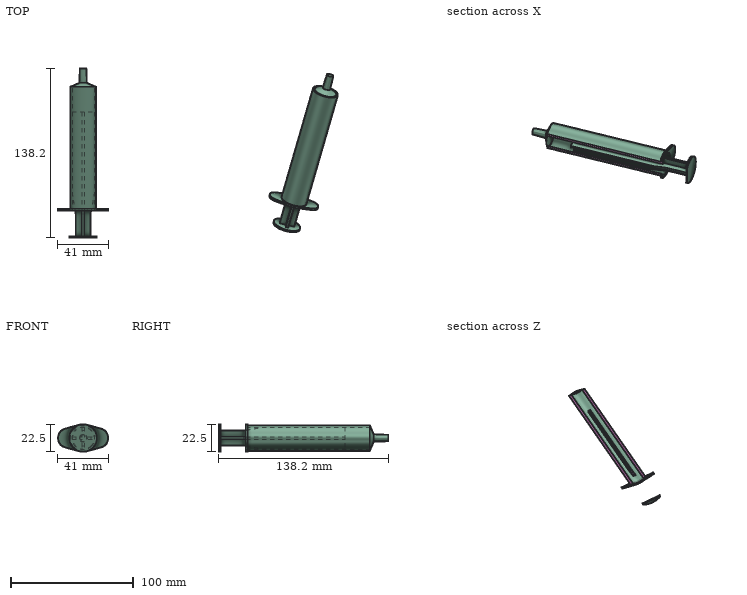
import cadquery as cq
import math


barrel_diameter = 21.2
bore_diameter = 18.0
mouth_diameter = 18.4
mouth_depth = 1.5
barrel_end = 101.3
shoulder_length = 3.2
nozzle_base_diameter = 6.4
nozzle_tip_diameter = 5.5
nozzle_length = 11.9

flange_width = 41.05
flange_height = 22.47
flange_bow_radius = 13.5
flange_ear_radius = 8.0
flange_thickness = 1.7

thumb_disk_diameter = 22.47
thumb_disk_thickness = 1.35
stem_exposed_length = 20.5
stem_diameter = 12.4
rib_thickness = 2.1
flare_start = -2.1
flare_end = 14.0

nozzle_start = barrel_end + shoulder_length
nozzle_end = nozzle_start + nozzle_length
stem_end = barrel_end - stem_exposed_length


def cylinder(diameter, start, end):
    """A round bar along Y between two Y positions."""
    return cq.Workplane("XZ", origin=(0, start, 0)).circle(diameter / 2).extrude(start - end)


def bar(width, height, start, end):
    """A rectangular bar along Y, centred on the axis."""
    return cq.Workplane("XZ", origin=(0, start, 0)).rect(width, height).extrude(start - end)


def revolve_about_axis(profile):
    """A solid of revolution about Y from (radius, Y) points."""
    return cq.Workplane("XY").polyline(profile).close().revolve(360, (0, 0, 0), (0, 1, 0))


def make_flange():
    """Plate with a bowed middle and two round ears, joined by straight tangent edges."""
    ear_offset = flange_width / 2 - flange_ear_radius
    bow_offset = flange_bow_radius - flange_height / 2
    centre_distance = math.hypot(ear_offset, bow_offset)
    tangent_angle = math.atan2(bow_offset, ear_offset) + math.acos(
        (flange_bow_radius - flange_ear_radius) / centre_distance
    )
    bow_x = flange_bow_radius * math.cos(tangent_angle)
    bow_z = flange_bow_radius * math.sin(tangent_angle) - bow_offset
    ear_x = ear_offset + flange_ear_radius * math.cos(tangent_angle)
    ear_z = flange_ear_radius * math.sin(tangent_angle)
    return (
        cq.Workplane("XZ")
        .moveTo(-bow_x, bow_z)
        .threePointArc((0, flange_height / 2), (bow_x, bow_z))
        .lineTo(ear_x, ear_z)
        .threePointArc((flange_width / 2, 0), (ear_x, -ear_z))
        .lineTo(bow_x, -bow_z)
        .threePointArc((0, -flange_height / 2), (-bow_x, -bow_z))
        .lineTo(-ear_x, -ear_z)
        .threePointArc((-flange_width / 2, 0), (-ear_x, ear_z))
        .close()
        .extrude(-flange_thickness)
    )


def make_barrel():
    """Flanged tube with a conical shoulder and a tapered nozzle, bored up to the shoulder."""
    outside = revolve_about_axis([
        (0, 0),
        (barrel_diameter / 2, 0),
        (barrel_diameter / 2, barrel_end),
        (nozzle_base_diameter / 2, nozzle_start),
        (nozzle_tip_diameter / 2, nozzle_end),
        (0, nozzle_end),
    ])
    bore = revolve_about_axis([
        (0, 0),
        (mouth_diameter / 2, 0),
        (bore_diameter / 2, mouth_depth),
        (bore_diameter / 2, barrel_end),
        (0, barrel_end),
    ])
    return outside.union(make_flange()).cut(bore)


def make_plunger():
    """Thumb disk on a cross-shaped stem whose ribs flare out inside the barrel to fill the bore."""
    disk_back = -stem_exposed_length
    disk = cylinder(thumb_disk_diameter, disk_back - thumb_disk_thickness, disk_back)
    envelope = revolve_about_axis([
        (0, disk_back),
        (stem_diameter / 2, disk_back),
        (stem_diameter / 2, flare_start),
        (bore_diameter / 2, flare_end),
        (bore_diameter / 2, stem_end),
        (0, stem_end),
    ])
    upright = bar(rib_thickness, bore_diameter, disk_back, stem_end)
    level = bar(bore_diameter, rib_thickness, disk_back, stem_end)
    return disk.union(envelope.intersect(upright.union(level)))


barrel = make_barrel()
plunger = make_plunger()

result = cq.Compound.makeCompound([barrel.val(), plunger.val()])